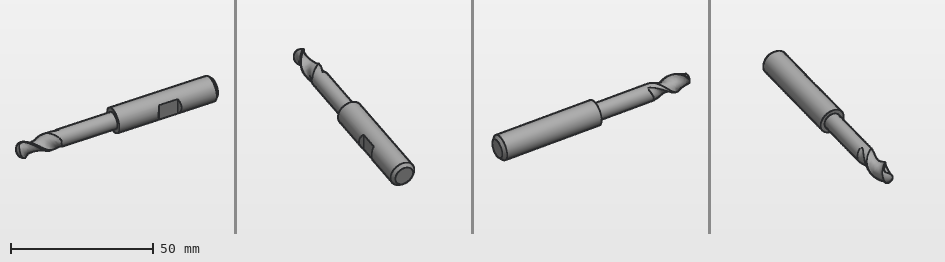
import cadquery as cq
import math

total_length = 77.8
shank_diameter = 9.6
shank_length = 39.7
shank_chamfer = 1.25
neck_diameter = 6.4

flat_depth = 1.3
flat_mouth_length = 9.2
flat_end_slope = 0.9
flat_setback = 15.1

flute_count = 2
helix_lead = 22.55
flute_length = 17.5
runout_start = 8.55
runout_lift = 1.6
runout_power = 1.3
runout_direction = 48
loft_steps = 24
clearance = 0.7

rake_edge_angle = 141
rake_lead_in = 8
rake_foot_radius = 2.2
rake_foot_angle = 96
core_radius = 1.7
core_angle = 35
heel_foot_radius = 2.6
heel_foot_angle = -20
heel_edge_angle = -27
heel_lead_out = 5

shank_radius = shank_diameter / 2
neck_radius = neck_diameter / 2
shank_start = total_length - shank_length


def polar(radius, degrees):
    angle = math.radians(degrees)
    return (radius * math.cos(angle), radius * math.sin(angle))


def tool_blank():
    """Ball-ended neck and chamfered shank, revolved about Y."""
    ball_middle = neck_radius * math.sqrt(0.5)
    return (
        cq.Workplane("XY")
        .moveTo(0, 0)
        .threePointArc((ball_middle, neck_radius - ball_middle), (neck_radius, neck_radius))
        .lineTo(neck_radius, shank_start)
        .lineTo(shank_radius, shank_start)
        .lineTo(shank_radius, total_length - shank_chamfer)
        .lineTo(shank_radius - shank_chamfer, total_length)
        .lineTo(0, total_length)
        .close()
        .revolve(360, (0, 0, 0), (0, 1, 0))
    )


def clamping_flat():
    """Trapezoidal notch that runs straight through the shank along Z."""
    floor_x = shank_radius - flat_depth
    back = total_length - flat_setback
    front = back - flat_mouth_length
    return (
        cq.Workplane("XY")
        .polyline([
            (shank_radius, front),
            (floor_x, front + flat_end_slope),
            (floor_x, back - flat_end_slope),
            (shank_radius, back),
        ])
        .close()
        .extrude(shank_radius, both=True)
    )


def flute_section(along_axis):
    """Flute cross-section: rake face, rounded core and heel, closed outside the neck."""
    outer_radius = neck_radius + clearance
    floor = [
        polar(outer_radius, rake_edge_angle + rake_lead_in),
        polar(neck_radius, rake_edge_angle),
        polar(rake_foot_radius, rake_foot_angle),
        polar(core_radius, core_angle),
        polar(heel_foot_radius, heel_foot_angle),
        polar(neck_radius, heel_edge_angle),
        polar(outer_radius, heel_edge_angle - heel_lead_out),
    ]
    closing_angle = (rake_edge_angle + heel_edge_angle) / 2
    runout_fraction = max(0, along_axis - runout_start) / (flute_length - runout_start)
    lift = runout_lift * runout_fraction ** runout_power
    lift_x, lift_z = polar(lift, runout_direction)
    twist = 360 * along_axis / helix_lead
    section = (
        cq.Workplane("XZ", origin=(0, along_axis, 0))
        .moveTo(*floor[0])
        .spline(floor[1:], includeCurrent=True)
        .threePointArc(polar(outer_radius, closing_angle), floor[0])
        .close()
        .val()
    )
    return section.translate(cq.Vector(lift_x, 0, lift_z)).rotate(
        cq.Vector(0, 0, 0), cq.Vector(0, 1, 0), twist
    )


def flute():
    """Helical cutter lofted from before the tip to past the end of the runout."""
    step = (flute_length + 2 * clearance) / loft_steps
    sections = [flute_section(index * step - clearance) for index in range(loft_steps + 1)]
    return cq.Workplane(cq.Solid.makeLoft(sections))


result = tool_blank().cut(clamping_flat())
cutter = flute()
for index in range(flute_count):
    result = result.cut(cutter.rotate((0, 0, 0), (0, 1, 0), index * 360 / flute_count))